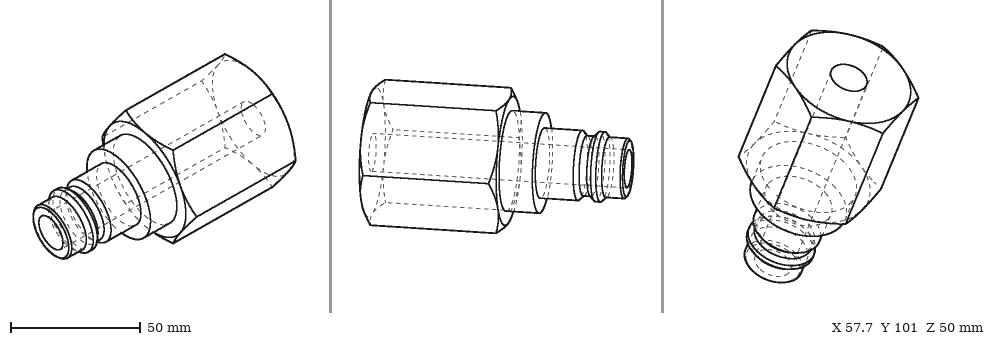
import cadquery as cq
import math

total_length = 101.0
across_flats = 50.0
across_corners = across_flats / math.cos(math.radians(30))
hex_length = 54.0
hex_chamfer_angle = 30.0

collar_diameter = 39.0
stem_diameter = 27.3
neck_diameter = 23.4
bore_diameter = 14.7

collar_length = 13.1
tip_length = 8.1
tip_chamfer = 0.8
ridge_width = 2.0
groove_width = 3.0
shoulder_slope = (stem_diameter - neck_diameter) / 2

ridge_start = tip_length + shoulder_slope
ridge_end = ridge_start + ridge_width
groove_start = ridge_end + shoulder_slope
groove_end = groove_start + groove_width
stem_start = groove_end + shoulder_slope
hex_start = total_length - hex_length
collar_start = hex_start - collar_length


def revolve_about_y(profile):
    """Revolve a closed (radius, y) outline around the Y axis."""
    return cq.Workplane("XY").polyline(profile).close().revolve(360, (0, 0, 0), (0, 1, 0))


def make_hexagon():
    """Hexagonal body, with corners on X, turned to a cone at both ends."""
    prism = (
        cq.Workplane("XZ", origin=(0, total_length, 0))
        .polygon(6, across_corners)
        .extrude(hex_length)
    )
    flat_radius = across_flats / 2
    corner_radius = across_corners / 2
    corner_drop = (corner_radius - flat_radius) * math.tan(math.radians(hex_chamfer_angle))
    envelope = revolve_about_y([
        (0, hex_start),
        (flat_radius, hex_start),
        (corner_radius, hex_start + corner_drop),
        (corner_radius, total_length - corner_drop),
        (flat_radius, total_length),
        (0, total_length),
    ])
    return prism.intersect(envelope)


def make_plug():
    """Turned plug: chamfered tip, locking ridge, groove, stem and collar."""
    neck_radius = neck_diameter / 2
    stem_radius = stem_diameter / 2
    collar_radius = collar_diameter / 2
    return revolve_about_y([
        (0, 0),
        (neck_radius - tip_chamfer, 0),
        (neck_radius, tip_chamfer),
        (neck_radius, tip_length),
        (stem_radius, ridge_start),
        (stem_radius, ridge_end),
        (neck_radius, groove_start),
        (neck_radius, groove_end),
        (stem_radius, stem_start),
        (stem_radius, collar_start),
        (collar_radius, collar_start),
        (collar_radius, hex_start),
        (0, hex_start),
    ])


def make_bore():
    """Straight passage through the whole part."""
    return (
        cq.Workplane("XZ", origin=(0, total_length, 0))
        .circle(bore_diameter / 2)
        .extrude(total_length)
    )


result = make_hexagon().union(make_plug()).cut(make_bore())